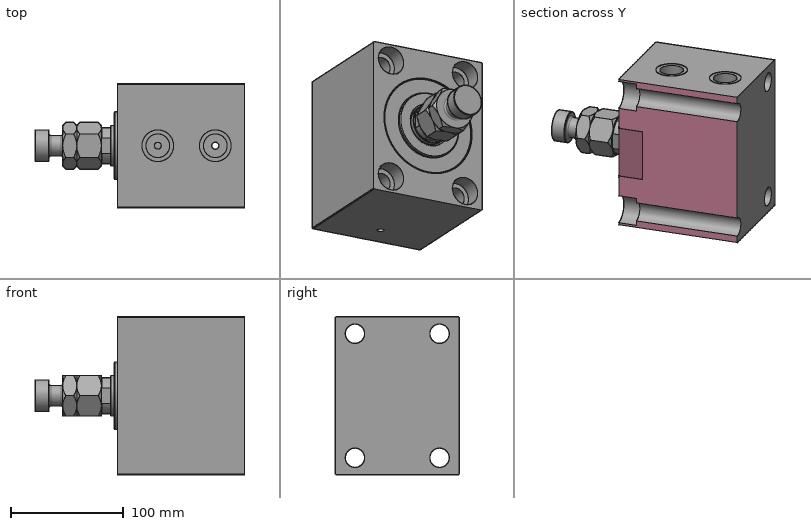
import cadquery as cq
import math


block_front = 73.1
block_back = 186.0
block_width = 110.0
block_height = 140.0
block_edge_chamfer = 0.7
block_top = block_height / 2

bolt_spacing_y = 75.0
bolt_spacing_z = 110.0
bolt_hole_diameter = 17.0
counterbore_diameter = 25.5
counterbore_depth = 17.0

front_port_x = block_front + 35.9
rear_port_x = block_front + 86.9
spotface_diameter = 28.0
spotface_depth = 0.4
port_diameter = 21.0
port_depth = 13.0
oil_hole_diameter = 6.1

gland_diameter = 87.5
gland_depth = 22.3
gland_seat_chamfer = 1.0
gland_seat_chamfer_angle = 45
collar_diameter = 60.3
collar_front = 70.1
collar_chamfer = 1.0
wiper_mouth_diameter = 39.0
wiper_mouth_depth = 1.5

rod_diameter = 36.0
rod_end = (front_port_x + rear_port_x) / 2
rod_shoulder = 67.1
rod_chamfer = 0.5
rod_neck_diameter = 35.0
rod_flats_width = 32.0

head_diameter = 28.0
head_length = 12.6
head_chamfer = 0.5
stud_neck_diameter = 18.2
stud_neck_fillet = 1.5
short_hex_front = 24.7
long_hex_front = 37.2
coupling_back = 59.0
hex_sides = 6
hex_width = 36.0
hex_corner_diameter = hex_width / math.cos(math.pi / hex_sides)
hex_chamfer = (hex_corner_diameter - hex_width) / 2


def rod_axis_cylinder(diameter, start, end):
    """A cylinder on the rod axis between two X positions."""
    return cq.Workplane("YZ", origin=(start, 0, 0)).circle(diameter / 2).extrude(end - start)


def top_hole(x, diameter, bottom_z):
    """A cutter for a vertical hole from the block top down to a given height."""
    depth = block_top - bottom_z
    return cq.Workplane("XY", origin=(x, 0, bottom_z)).circle(diameter / 2).extrude(depth)


def cut_port(block, x, oil_hole_bottom):
    """Cut a spotfaced port whose narrow oil hole ends at a given height."""
    block = block.cut(top_hole(x, spotface_diameter, block_top - spotface_depth))
    block = block.cut(top_hole(x, port_diameter, block_top - port_depth))
    return block.cut(top_hole(x, oil_hole_diameter, oil_hole_bottom))


def make_block():
    block = cq.Workplane("XY").box(
        block_back - block_front, block_width, block_height, centered=(False, True, True)
    )
    block = block.translate((block_front, 0, 0)).edges("|X").chamfer(block_edge_chamfer)

    block = (
        block.faces("<X")
        .workplane(centerOption="CenterOfBoundBox")
        .rect(bolt_spacing_y, bolt_spacing_z, forConstruction=True)
        .vertices()
        .cboreHole(bolt_hole_diameter, counterbore_diameter, counterbore_depth)
    )

    block = cut_port(block, front_port_x, 0)
    block = cut_port(block, rear_port_x, -block_top)

    gland_seat = rod_axis_cylinder(gland_diameter, block_front, block_front + gland_depth)
    seat_mouth = (
        cq.Workplane("YZ", origin=(block_front, 0, 0))
        .circle(gland_diameter / 2 + gland_seat_chamfer)
        .extrude(gland_seat_chamfer, taper=gland_seat_chamfer_angle)
    )
    rod_bore = rod_axis_cylinder(rod_diameter, block_front, rod_end)
    return block.cut(gland_seat).cut(seat_mouth).cut(rod_bore)


def make_gland():
    insert = rod_axis_cylinder(gland_diameter, block_front, block_front + gland_depth)
    collar = rod_axis_cylinder(collar_diameter, collar_front, block_front)
    collar = collar.faces("<X").edges().chamfer(collar_chamfer)
    rod_bore = rod_axis_cylinder(rod_diameter, collar_front, block_front + gland_depth)
    wiper_mouth = rod_axis_cylinder(wiper_mouth_diameter, collar_front, collar_front + wiper_mouth_depth)
    return insert.union(collar).cut(rod_bore).cut(wiper_mouth)


def make_rod():
    shaft = rod_axis_cylinder(rod_diameter, rod_shoulder, rod_end)
    shaft = shaft.faces("<X").edges().chamfer(rod_chamfer)
    neck = rod_axis_cylinder(rod_neck_diameter, coupling_back, rod_shoulder)
    neck = neck.faces("<X").edges().chamfer(rod_chamfer)
    flats = cq.Workplane("YZ", origin=(coupling_back, 0, 0)).rect(rod_flats_width, rod_flats_width)
    neck = neck.intersect(flats.extrude(rod_shoulder - coupling_back))
    return shaft.union(neck)


def make_hexagon(start, end):
    """A hexagon with its corners on +-Y and turned off conically at both ends."""
    prism = cq.Workplane("YZ", origin=(start, 0, 0)).polygon(hex_sides, hex_corner_diameter)
    turned = rod_axis_cylinder(hex_corner_diameter, start, end).edges().chamfer(hex_chamfer)
    return prism.extrude(end - start).intersect(turned)


def make_coupling():
    head = rod_axis_cylinder(head_diameter, 0, head_length).edges().chamfer(head_chamfer)
    neck = rod_axis_cylinder(stud_neck_diameter, head_length, short_hex_front)
    short_hex = make_hexagon(short_hex_front, long_hex_front)
    long_hex = make_hexagon(long_hex_front, coupling_back)
    stud = head.union(neck).union(short_hex)
    neck_ends = cq.selectors.RadiusNthSelector(0)
    stud = stud.edges("%CIRCLE").edges(neck_ends).fillet(stud_neck_fillet)
    return stud.union(long_hex)


block = make_block()
gland = make_gland()
rod = make_rod()
coupling = make_coupling()

result = cq.Compound.makeCompound([block.val(), gland.val(), rod.val(), coupling.val()])